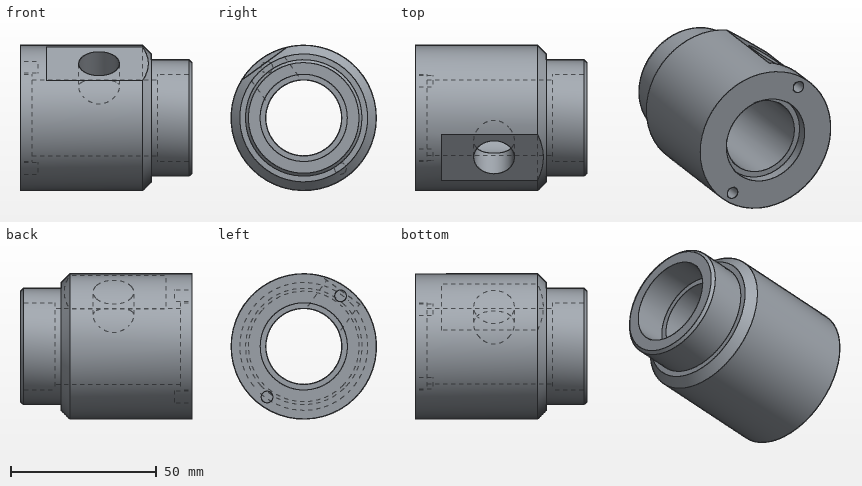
import cadquery as cq

total_length = 59.0
body_length = 45.0
body_diameter = 50.0
body_chamfer = 3.0
spigot_diameter = 40.0
spigot_chamfer = 1.0

bore_diameter = 26.0
counterbore_diameter = 30.0
front_counterbore_depth = 4.0
rear_counterbore_depth = 12.0

tilt_angle = 36
flat_start = 9.0
flat_distance = 23.0
radial_hole_x = 27.0
radial_hole_diameter = 14.0

pin_hole_diameter = 4.0
pin_circle_radius = 21.5
pin_hole_depth = 6.0


def cylinder_along_x(diameter, length):
    """Cylinder on the X axis, starting at X = 0."""
    return cq.Workplane("YZ").circle(diameter / 2).extrude(length)


def tilt(shape):
    """Turn a shape about the X axis from +Z to the flat's direction."""
    return shape.rotate((0, 0, 0), (1, 0, 0), tilt_angle)


body = cylinder_along_x(body_diameter, body_length).faces(">X").chamfer(body_chamfer)
spigot = cylinder_along_x(spigot_diameter, total_length).faces(">X").chamfer(spigot_chamfer)
sleeve = body.union(spigot)
sleeve = sleeve.cut(cylinder_along_x(bore_diameter, total_length))
front_counterbore = cylinder_along_x(counterbore_diameter, front_counterbore_depth)
rear_counterbore = cylinder_along_x(counterbore_diameter, rear_counterbore_depth).translate(
    (total_length - rear_counterbore_depth, 0, 0)
)
sleeve = sleeve.cut(front_counterbore).cut(rear_counterbore)

flat_cutter = cq.Workplane("XY").workplane(offset=flat_distance).box(
    body_length - flat_start, body_diameter, body_diameter, centered=(False, True, False)
).translate((flat_start, 0, 0))
sleeve = sleeve.cut(tilt(flat_cutter))

radial_hole = (
    cq.Workplane("XY")
    .center(radial_hole_x, 0)
    .circle(radial_hole_diameter / 2)
    .extrude(body_diameter / 2)
)
sleeve = sleeve.cut(tilt(radial_hole))

pin_holes = (
    cq.Workplane("YZ")
    .pushPoints([(0, pin_circle_radius), (0, -pin_circle_radius)])
    .circle(pin_hole_diameter / 2)
    .extrude(pin_hole_depth)
)
result = sleeve.cut(tilt(pin_holes))